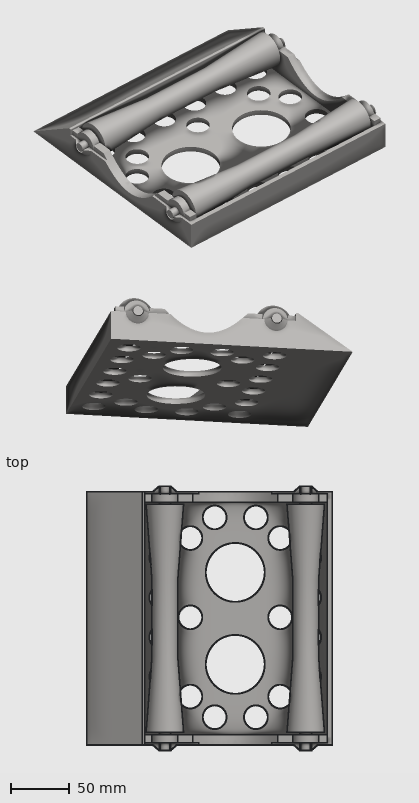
import cadquery as cq
base_length = 209.0
base_width = 216.0
ridge_height = 32.0
rail_height = 30.0
axis_height = 25.0
front_wall_end = 49.3
ridge_width = 2.0
ridge_fillet = 1.0
rear_wall = 4.0
rim_width = 2.0
floor_thickness = 5.0

roller_radius = 16.0
roller_waist_radius = 10.4
roller_length = 194.0
shoulder_diameter = 10.0
journal_diameter = 8.0
overall_width = 225.0
center_x = 126.5
roller_spacing = 120.0
bearing_diameter = 22.0
bearing_width = 7.0

valley_bottom = 10.1
valley_half_width = 36.0

boss_diameter = 20.0
journal_groove_diameter = 10.0

small_hole_diameter = 20.0
large_hole_diameter = 50.0
small_hole_center_y = 1.0
hole_row_pitch = 16.9
inner_hole_y = 85.0
large_hole_offset = 39.2
inner_hole_x = 17.5
middle_hole_x = 38.2
outer_hole_x = 63.0

cavity_end = base_length - rear_wall
cavity_length = cavity_end - front_wall_end
roller_positions = [center_x - roller_spacing / 2, center_x + roller_spacing / 2]
rail_outer_y = base_width / 2 - rim_width
rail_inner_y = rail_outer_y - bearing_width
boss_length = (overall_width - base_width) / 2


def y_prism(outline, y_start, y_end):
    """Extrude an outline drawn on the XZ plane from y_start to y_end."""
    return outline.extrude(y_start - y_end).translate((0, y_start, 0))


def y_cylinder(x, diameter, y_start, y_end):
    """Cylinder on the roller axis height, parallel to Y."""
    circle = cq.Workplane("XZ").center(x, axis_height).circle(diameter / 2)
    return y_prism(circle, y_start, y_end)


def make_wedge():
    """Solid wedge with a rim at axis height and raised rails along both sides."""
    profile = (
        cq.Workplane("XZ")
        .moveTo(0, 0)
        .lineTo(base_length, 0)
        .lineTo(base_length, axis_height)
        .lineTo(front_wall_end, axis_height)
        .lineTo(front_wall_end, ridge_height - ridge_fillet)
        .radiusArc((front_wall_end - ridge_fillet, ridge_height), -ridge_fillet)
        .lineTo(front_wall_end - ridge_width, ridge_height)
        .close()
    )
    wedge = y_prism(profile, -base_width / 2, base_width / 2)
    rails = cq.Workplane("XY").box(
        cavity_length,
        2 * rail_outer_y,
        rail_height - axis_height,
        centered=(False, True, False),
    )
    return wedge.union(rails.translate((front_wall_end, 0, axis_height)))


def make_cavity():
    """Open space between the side walls, above the floor."""
    cavity = cq.Workplane("XY").box(
        cavity_length,
        2 * rail_inner_y,
        ridge_height,
        centered=(False, True, False),
    )
    return cavity.translate((front_wall_end, 0, floor_thickness))


def make_valley():
    """Parabolic dip through both side walls."""
    left = (center_x - valley_half_width, rail_height)
    right = (center_x + valley_half_width, rail_height)
    control = (center_x, 2 * valley_bottom - rail_height)
    profile = cq.Workplane("XZ").moveTo(*left).bezier([left, control, right]).close()
    return y_prism(profile, -base_width / 2, base_width / 2)


def make_bearing_slot(x):
    """Round-bottomed slot in both rails, one bearing wide on each side."""
    radius = bearing_diameter / 2
    outline = (
        cq.Workplane("XZ")
        .moveTo(x - radius, rail_height)
        .lineTo(x - radius, axis_height)
        .threePointArc((x, axis_height - radius), (x + radius, axis_height))
        .lineTo(x + radius, rail_height)
        .close()
    )
    return y_prism(outline, -rail_outer_y, rail_outer_y)


def make_boss(x, side):
    """Half cone under a journal, tapering outward from the side wall to the journal groove."""
    cone = cq.Solid.makeCone(
        boss_diameter / 2,
        journal_groove_diameter / 2,
        boss_length,
        pnt=cq.Vector(x, side * base_width / 2, axis_height),
        dir=cq.Vector(0, side, 0),
    )
    lower_half = cq.Workplane("XY").box(
        boss_diameter, overall_width, axis_height, centered=(True, True, False)
    )
    return cq.Workplane(cone).intersect(lower_half.translate((x, 0, 0)))


def make_floor_holes():
    """Two large lightening holes ringed by small ones, all through the floor."""
    large_points = [(center_x, side * large_hole_offset) for side in (-1, 1)]
    columns = [
        (inner_hole_x, [side * inner_hole_y for side in (-1, 1)]),
        (middle_hole_x, [row * hole_row_pitch for row in (-4, 0, 4)]),
        (outer_hole_x, [row * hole_row_pitch for row in (-5, -3, -1, 1, 3, 5)]),
    ]
    small_points = [
        (center_x + side * distance, small_hole_center_y + offset)
        for distance, offsets in columns
        for offset in offsets
        for side in (-1, 1)
    ]
    plane = cq.Workplane("XY")
    large = plane.pushPoints(large_points).circle(large_hole_diameter / 2).extrude(floor_thickness)
    small = plane.pushPoints(small_points).circle(small_hole_diameter / 2).extrude(floor_thickness)
    return large.add(small).combine()


def make_base():
    base = make_wedge()
    for x in roller_positions:
        for side in (-1, 1):
            base = base.union(make_boss(x, side))
    base = base.cut(make_cavity()).cut(make_valley()).cut(make_floor_holes())
    for x in roller_positions:
        base = base.cut(make_bearing_slot(x))
        base = base.cut(y_cylinder(x, journal_groove_diameter, -overall_width / 2, overall_width / 2))
    return base


def make_roller(x):
    """Roller with a concave barrel, shoulders against the bearings and long journals."""
    half_length = roller_length / 2
    barrel = (
        cq.Workplane("XY")
        .moveTo(0, -half_length)
        .lineTo(roller_radius, -half_length)
        .threePointArc((roller_waist_radius, 0), (roller_radius, half_length))
        .lineTo(0, half_length)
        .close()
        .revolve(360, (0, 0, 0), (0, 1, 0))
        .translate((x, 0, axis_height))
    )
    shoulders = y_cylinder(x, shoulder_diameter, -rail_inner_y, rail_inner_y)
    journals = y_cylinder(x, journal_diameter, -overall_width / 2, overall_width / 2)
    return barrel.union(shoulders).union(journals)


def make_bearing(x, side):
    """Plain ring on a journal, seated in its rail slot."""
    y_start, y_end = sorted((side * rail_inner_y, side * rail_outer_y))
    ring = y_cylinder(x, bearing_diameter, y_start, y_end)
    return ring.cut(y_cylinder(x, journal_diameter, y_start, y_end))


base = make_base()
rollers = [make_roller(x) for x in roller_positions]
bearings = [make_bearing(x, side) for x in roller_positions for side in (-1, 1)]

result = cq.Compound.makeCompound(
    [base.val()]
    + [roller.val() for roller in rollers]
    + [bearing.val() for bearing in bearings]
)